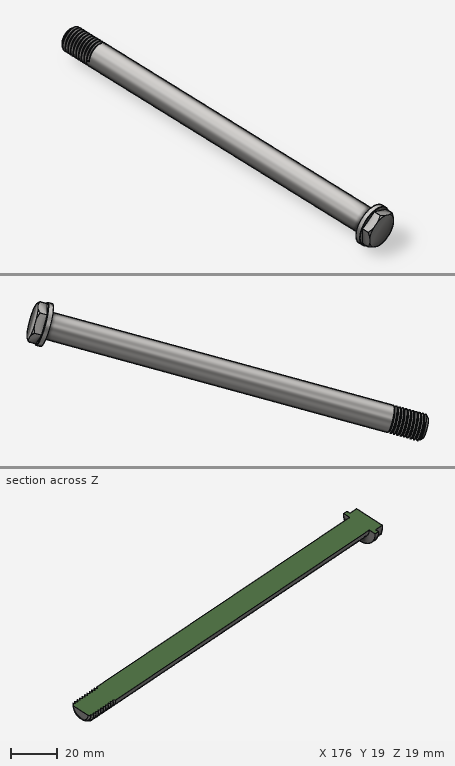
import cadquery as cq
import math

total_length = 176.0
shank_diameter = 12.0
flange_diameter = 19.0
flange_start = 169.7
flange_thickness = 2.3
flange_edge_chamfer = 0.2
hex_across_flats = 15.5
hex_corner_chamfer = 1.0
hex_chamfer_length = 0.9
tip_diameter = 8.8
tip_length = 1.4
thread_start = 0.7
thread_end = 16.0
thread_pitch = 1.5
thread_depth = 0.9
thread_start_angle = 180
groove_root_width = 0.2
groove_mouth_width = 1.2
groove_overshoot = 0.2

shank_radius = shank_diameter / 2
hex_start = flange_start + flange_thickness
hex_across_corners = hex_across_flats / math.cos(math.pi / 6)
flat_angle = 30


def make_shank():
    """Round shank with a tapered tip, running into the flange."""
    return (
        cq.Workplane("XY")
        .polyline([
            (0, 0),
            (0, tip_diameter / 2),
            (tip_length, shank_radius),
            (hex_start, shank_radius),
            (hex_start, 0),
        ])
        .close()
        .revolve(360, (0, 0, 0), (1, 0, 0))
    )


def make_flange():
    """Round washer flange under the hex head."""
    return (
        cq.Workplane("YZ", origin=(flange_start, 0, 0))
        .circle(flange_diameter / 2)
        .extrude(flange_thickness)
        .faces(">X")
        .chamfer(flange_edge_chamfer)
    )


def make_hex_head():
    """Hexagon whose outer corners are trimmed by a cone."""
    head_height = total_length - hex_start
    corner_radius = hex_across_corners / 2
    hexagon = (
        cq.Workplane("YZ", origin=(hex_start, 0, 0))
        .polygon(6, hex_across_corners)
        .extrude(head_height)
        .rotate((0, 0, 0), (1, 0, 0), flat_angle)
    )
    envelope = (
        cq.Workplane("XY")
        .polyline([
            (hex_start, 0),
            (hex_start, corner_radius),
            (total_length - hex_chamfer_length, corner_radius),
            (total_length, corner_radius - hex_corner_chamfer),
            (total_length, 0),
        ])
        .close()
        .revolve(360, (0, 0, 0), (1, 0, 0))
    )
    return hexagon.intersect(envelope)


def make_thread_groove():
    """Helical V groove, starting inside the tapered tip."""
    root_radius = shank_radius - thread_depth
    flank_slope = (groove_mouth_width - groove_root_width) / 2 / thread_depth
    outer_half_width = groove_mouth_width / 2 + groove_overshoot * flank_slope
    root_half_width = groove_root_width / 2
    helix = cq.Wire.makeHelix(thread_pitch, thread_end - thread_start, shank_radius)
    groove = (
        cq.Workplane("XZ")
        .polyline([
            (root_radius, -root_half_width),
            (shank_radius + groove_overshoot, -outer_half_width),
            (shank_radius + groove_overshoot, outer_half_width),
            (root_radius, root_half_width),
        ])
        .close()
        .sweep(cq.Workplane(obj=helix), isFrenet=True)
    )
    return (
        groove.rotate((0, 0, 0), (0, 1, 0), 90)
        .rotate((0, 0, 0), (1, 0, 0), thread_start_angle)
        .translate((thread_start, 0, 0))
    )


shank = make_shank().cut(make_thread_groove())
result = shank.union(make_flange()).union(make_hex_head())